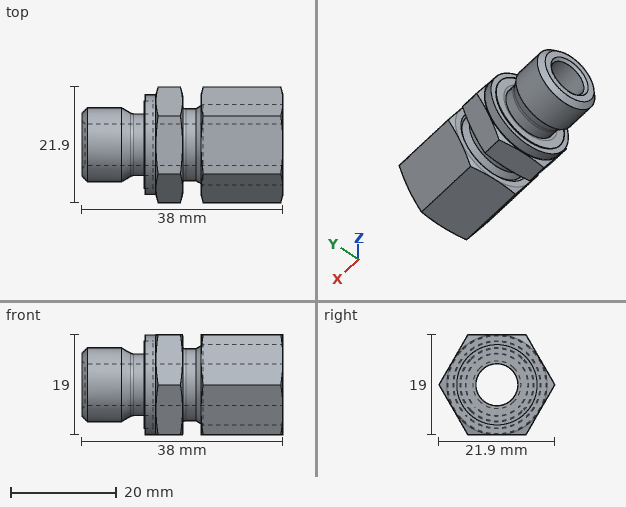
import cadquery as cq
import math


length = 38.0
across_flats = 19.0
across_corners = across_flats / math.cos(math.radians(30))
relief_angle = math.radians(30)
hex_chamfer_angle = math.radians(15)

bore_radius = 3.95
bore_chamfer = 0.57

stud_radius = 7.03
stud_chamfer = 1.05
stud_end = 7.45
stud_neck_radius = 5.85
stud_fillet = 1.15

flange_start = 11.95
flange_radius = 9.45
seal_projection = 0.2
seal_depth = 1.52
seal_radius = 8.32
seal_mouth_radius = 6.5
seal_start = flange_start - seal_projection
seal_end = flange_start + seal_depth

hex_start = 13.95
hex_end = 19.08
hex_face_radius = 9.27

neck_radius = 6.85
neck_start = 19.65
neck_end = 21.6
neck_root_fillet = 1.0

nut_start = 22.55
nut_face_radius = 9.5
thread_radius = 7.6
nut_mouth_radius = 8.17
nut_mouth_depth = 0.38


def revolve_about_x(profile):
    """Turn a closed (x, radius) profile round the X axis."""
    return profile.close().revolve(360, (0, 0, 0), (1, 0, 0))


def cylinder(start, end, radius):
    return cq.Workplane("YZ", origin=(start, 0, 0)).circle(radius).extrude(end - start)


def chamfered_hexagon(start, end, face_radius):
    """Hexagon with flats at the top and bottom, its corners turned back to a round face at each end."""
    prism = cq.Workplane("YZ", origin=(start, 0, 0)).polygon(6, across_corners).extrude(end - start)
    corner_radius = across_corners / 2
    setback = (corner_radius - face_radius) * math.tan(hex_chamfer_angle)
    envelope = revolve_about_x(
        cq.Workplane("XY")
        .moveTo(start, 0)
        .lineTo(start, face_radius)
        .lineTo(start + setback, corner_radius)
        .lineTo(end - setback, corner_radius)
        .lineTo(end, face_radius)
        .lineTo(end, 0)
    )
    return prism.intersect(envelope)


def make_stud():
    """Chamfered stud with a relief cone that blends into the neck behind it."""
    fillet_height = stud_fillet * (1 - math.cos(relief_angle))
    fillet_length = stud_fillet * math.sin(relief_angle)
    cone_end_radius = stud_neck_radius + fillet_height
    cone_end = stud_end + (stud_radius - cone_end_radius) / math.tan(relief_angle)
    half_angle = relief_angle / 2
    fillet_middle = (
        cone_end + fillet_length - stud_fillet * math.sin(half_angle),
        stud_neck_radius + stud_fillet * (1 - math.cos(half_angle)),
    )
    return revolve_about_x(
        cq.Workplane("XY")
        .moveTo(0, 0)
        .lineTo(0, stud_radius - stud_chamfer)
        .lineTo(stud_chamfer, stud_radius)
        .lineTo(stud_end, stud_radius)
        .lineTo(cone_end, cone_end_radius)
        .threePointArc(fillet_middle, (cone_end + fillet_length, stud_neck_radius))
        .lineTo(hex_start, stud_neck_radius)
        .lineTo(hex_start, 0)
    )


def make_nut_end():
    """Neck behind the hexagon, then a cone up to the thread that fills the nut."""
    root_length = neck_start - hex_end
    half_length = root_length / 2

    def root_radius(distance):
        return neck_radius + neck_root_fillet - math.sqrt(neck_root_fillet**2 - distance**2)

    cone_length = (thread_radius - neck_radius) / math.tan(relief_angle)
    return revolve_about_x(
        cq.Workplane("XY")
        .moveTo(hex_end, 0)
        .lineTo(hex_end, root_radius(root_length))
        .threePointArc((neck_start - half_length, root_radius(half_length)), (neck_start, neck_radius))
        .lineTo(neck_end, neck_radius)
        .lineTo(neck_end + cone_length, thread_radius)
        .lineTo(length, thread_radius)
        .lineTo(length, 0)
    )


def make_bore():
    return revolve_about_x(
        cq.Workplane("XY")
        .moveTo(0, 0)
        .lineTo(0, bore_radius + bore_chamfer)
        .lineTo(bore_chamfer, bore_radius)
        .lineTo(length, bore_radius)
        .lineTo(length, 0)
    )


def make_body():
    seal_groove = cylinder(flange_start, seal_end, seal_radius).cut(
        cylinder(flange_start, seal_end, stud_neck_radius)
    )
    flange = cylinder(flange_start, hex_start, flange_radius).cut(seal_groove)
    return (
        make_stud()
        .union(flange)
        .union(chamfered_hexagon(hex_start, hex_end, hex_face_radius))
        .union(make_nut_end())
        .cut(make_bore())
    )


def make_seal():
    """Flat ring filling the flange groove; its projecting part is dished towards the neck."""
    return revolve_about_x(
        cq.Workplane("XY")
        .moveTo(seal_start, seal_mouth_radius)
        .lineTo(seal_start, seal_radius)
        .lineTo(seal_end, seal_radius)
        .lineTo(seal_end, stud_neck_radius)
        .lineTo(flange_start, stud_neck_radius)
    )


def make_nut():
    """Hexagon nut with a plain thread bore and a countersunk mouth."""
    thread_hole = revolve_about_x(
        cq.Workplane("XY")
        .moveTo(nut_start, 0)
        .lineTo(nut_start, nut_mouth_radius)
        .lineTo(nut_start + nut_mouth_depth, thread_radius)
        .lineTo(length, thread_radius)
        .lineTo(length, 0)
    )
    return chamfered_hexagon(nut_start, length, nut_face_radius).cut(thread_hole)


body = make_body()
seal = make_seal()
nut = make_nut()

result = cq.Compound.makeCompound([body.val(), seal.val(), nut.val()])